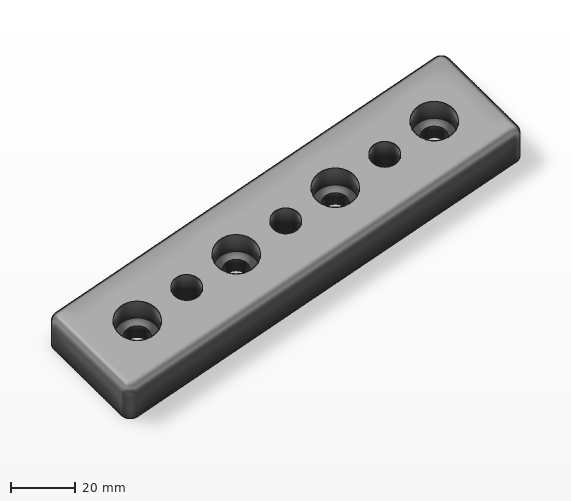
import cadquery as cq

length = 160.0
width = length / 4
height = 15.0
edge_radius = 3.5

hole_pitch = length / 8
hole_count = 7
plain_diameter = 10.0
screw_diameter = 9.0
counterbore_diameter = 15.0
counterbore_depth = 9.0


def rounded_block():
    """Block on Z = 0 with rounded upright and top edges and a sharp base."""
    block = cq.Workplane("XY").box(width, length, height, centered=(True, True, False))
    return block.edges("|Z or >Z").fillet(edge_radius)


def hole_positions(first):
    """Every second position of the row, starting from the given index."""
    middle = (hole_count - 1) / 2
    return [(0, (i - middle) * hole_pitch) for i in range(first, hole_count, 2)]


def top_plane(body):
    """Workplane on the top face, centred over the block."""
    return body.faces(">Z").workplane(origin=(0, 0, height))


result = rounded_block()
result = top_plane(result).pushPoints(hole_positions(0)).cboreHole(
    screw_diameter, counterbore_diameter, counterbore_depth
)
result = top_plane(result).pushPoints(hole_positions(1)).hole(plain_diameter)